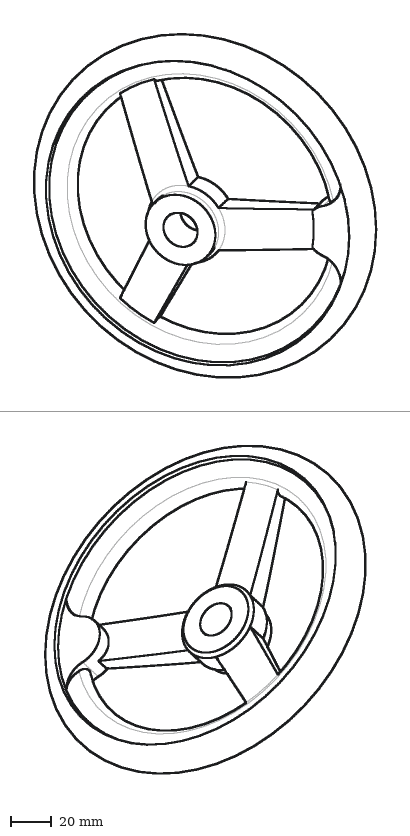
import cadquery as cq
import math

WHEEL_RADIUS = 90.0

DIAGONAL = math.sqrt(0.5)

RIM_DEPTH = 20.0
GRIP_RADIUS = RIM_DEPTH / 2
GRIP_CENTER_RADIUS = WHEEL_RADIUS - GRIP_RADIUS
STEP_TAPER = 0.4
CONE_OUTER_RADIUS = GRIP_CENTER_RADIUS - STEP_TAPER
CORE_OUTER_DEPTH = 15.3
CORE_INNER_DEPTH = 8.6
CONE_INNER_RADIUS = 71.5
RIM_INNER_RADIUS = 67.9
RIM_MIDDLE_Y = -RIM_DEPTH / 2
CORE_FRONT_Y = RIM_MIDDLE_Y - CORE_OUTER_DEPTH / 2
CORE_BACK_Y = RIM_MIDDLE_Y + CORE_OUTER_DEPTH / 2

HUB_FRONT_Y = -42.5
HUB_BACK_Y = -20.2
HUB_BACK_CHAMFER = 2.0
HUB_RADIUS = 20.5
NOSE_RADIUS = 18.5
NOSE_BACK_Y = -38.2
HUB_SHOULDER_Y = -34.7
BORE_DIAMETER = 18.0

SPOKE_COUNT = 3
SPOKE_START_RADIUS = 16.2
SPOKE_END_RADIUS = 71.1
SPOKE_FRONT_SLOPE = 0.425
SPOKE_HUB_HALF_WIDTH = 11.3
SPOKE_RIM_HALF_WIDTH = 10.5
SPOKE_BACK_END_Y = -6.1

BOSS_CENTER_X = 69.8
BOSS_RADIUS = 14.0
BLEND_RADIUS = 13.1
BLEND_CENTER_X = 61.7


def make_rim():
    section = (
        cq.Workplane("XY")
        .moveTo(GRIP_CENTER_RADIUS + STEP_TAPER, 0)
        .threePointArc((WHEEL_RADIUS, RIM_MIDDLE_Y), (GRIP_CENTER_RADIUS + STEP_TAPER, -RIM_DEPTH))
        .lineTo(CONE_OUTER_RADIUS, CORE_FRONT_Y)
        .lineTo(CONE_INNER_RADIUS, RIM_MIDDLE_Y - CORE_INNER_DEPTH / 2)
        .threePointArc(
            (RIM_INNER_RADIUS, RIM_MIDDLE_Y),
            (CONE_INNER_RADIUS, RIM_MIDDLE_Y + CORE_INNER_DEPTH / 2),
        )
        .lineTo(CONE_OUTER_RADIUS, CORE_BACK_Y)
        .close()
    )
    return section.revolve(360, (0, 0, 0), (0, 1, 0))


def make_hub():
    blend = HUB_RADIUS - NOSE_RADIUS
    blend_height = HUB_SHOULDER_Y - NOSE_BACK_Y
    blend_middle = (
        NOSE_RADIUS + blend * (1 - DIAGONAL),
        NOSE_BACK_Y + blend_height * DIAGONAL,
    )
    section = (
        cq.Workplane("XY")
        .moveTo(0, HUB_FRONT_Y)
        .lineTo(NOSE_RADIUS, HUB_FRONT_Y)
        .lineTo(NOSE_RADIUS, NOSE_BACK_Y)
        .threePointArc(blend_middle, (HUB_RADIUS, HUB_SHOULDER_Y))
        .lineTo(HUB_RADIUS, HUB_BACK_Y - HUB_BACK_CHAMFER)
        .lineTo(HUB_RADIUS - HUB_BACK_CHAMFER, HUB_BACK_Y)
        .lineTo(0, HUB_BACK_Y)
        .close()
    )
    return section.revolve(360, (0, 0, 0), (0, 1, 0))


def make_spoke():
    """One spoke along +X: a leaning conical web trimmed to a tapered width."""
    back_start_y = HUB_BACK_Y - HUB_BACK_CHAMFER
    front_end_y = HUB_SHOULDER_Y + SPOKE_FRONT_SLOPE * (SPOKE_END_RADIUS - HUB_RADIUS)
    profile = (
        cq.Workplane("XY")
        .polyline([
            (SPOKE_START_RADIUS, HUB_SHOULDER_Y),
            (HUB_RADIUS, HUB_SHOULDER_Y),
            (SPOKE_END_RADIUS, front_end_y),
            (SPOKE_END_RADIUS, SPOKE_BACK_END_Y),
            (HUB_RADIUS, back_start_y),
            (SPOKE_START_RADIUS, back_start_y),
        ])
        .close()
        .revolve(360, (0, 0, 0), (0, 1, 0))
    )
    plan = (
        cq.Workplane("XZ")
        .polyline([
            (SPOKE_START_RADIUS, -SPOKE_HUB_HALF_WIDTH),
            (SPOKE_END_RADIUS, -SPOKE_RIM_HALF_WIDTH),
            (SPOKE_END_RADIUS, SPOKE_RIM_HALF_WIDTH),
            (SPOKE_START_RADIUS, SPOKE_HUB_HALF_WIDTH),
        ])
        .close()
        .extrude(-HUB_FRONT_Y)
    )
    return profile.intersect(plan)


def make_handle_boss():
    """Pad reaching from the round boss end out to the step of the rim."""
    center_gap = BOSS_RADIUS + BLEND_RADIUS
    offset_x = BOSS_CENTER_X - BLEND_CENTER_X
    blend_center_z = math.sqrt(center_gap**2 - offset_x**2)
    touch_x = BOSS_CENTER_X - offset_x * BOSS_RADIUS / center_gap
    touch_z = blend_center_z * BOSS_RADIUS / center_gap
    blend_end_x = BLEND_CENTER_X + BLEND_RADIUS
    blend_middle = (
        BLEND_CENTER_X + BLEND_RADIUS * DIAGONAL,
        blend_center_z - BLEND_RADIUS * DIAGONAL,
    )
    rim_z = math.sqrt(CONE_OUTER_RADIUS**2 - blend_end_x**2)
    return (
        cq.Workplane("XZ")
        .moveTo(touch_x, -touch_z)
        .threePointArc((BOSS_CENTER_X - BOSS_RADIUS, 0), (touch_x, touch_z))
        .threePointArc(blend_middle, (blend_end_x, blend_center_z))
        .lineTo(blend_end_x, rim_z)
        .threePointArc((CONE_OUTER_RADIUS, 0), (blend_end_x, -rim_z))
        .lineTo(blend_end_x, -blend_center_z)
        .threePointArc((blend_middle[0], -blend_middle[1]), (touch_x, -touch_z))
        .close()
        .extrude(CORE_OUTER_DEPTH)
        .translate((0, CORE_BACK_Y, 0))
    )


wheel = make_rim().union(make_hub())
for index in range(SPOKE_COUNT):
    angle = index * 360 / SPOKE_COUNT
    wheel = wheel.union(make_spoke().rotate((0, 0, 0), (0, 1, 0), angle))
wheel = wheel.union(make_handle_boss())

bore = cq.Workplane("XZ").circle(BORE_DIAMETER / 2).extrude(-HUB_FRONT_Y)
result = wheel.cut(bore)